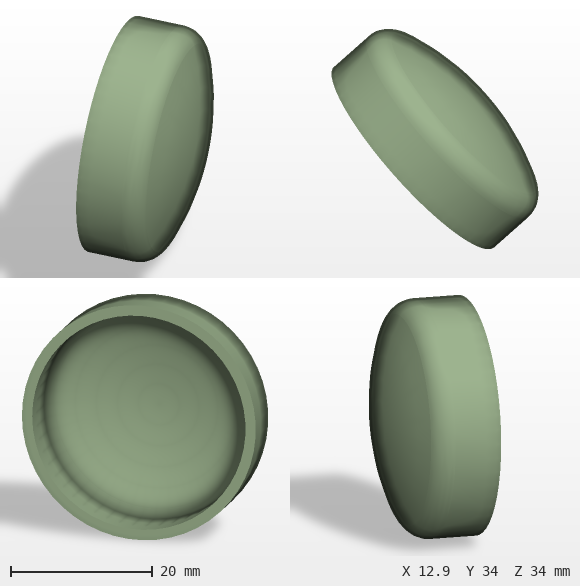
import cadquery as cq
import math

outer_radius = 17.0
cap_height = 12.92
wall = 1.5
rim_length = 6.65
shoulder_radius = 3.33

shoulder_center_radius = outer_radius - shoulder_radius
crown_rise = cap_height - rim_length
dome_radius = (crown_rise**2 + shoulder_center_radius**2 - shoulder_radius**2) / (
    2 * (crown_rise - shoulder_radius)
)
dome_center_x = cap_height - dome_radius

tangent_angle = math.atan2(shoulder_center_radius, rim_length - dome_center_x)


def arc_point(center_x, center_radius, radius, angle):
    """Point on a profile arc, with the angle measured from the X axis."""
    return (center_x + radius * math.cos(angle), center_radius + radius * math.sin(angle))


def solid_cap(inset):
    """Revolved solid bounded by the outer surface moved inward by inset."""
    shoulder = shoulder_radius - inset
    dome = dome_radius - inset
    shoulder_mid_angle = (math.pi / 2 + tangent_angle) / 2
    profile = (
        cq.Workplane("XY")
        .moveTo(0, 0)
        .lineTo(0, outer_radius - inset)
        .lineTo(rim_length, outer_radius - inset)
        .threePointArc(
            arc_point(rim_length, shoulder_center_radius, shoulder, shoulder_mid_angle),
            arc_point(rim_length, shoulder_center_radius, shoulder, tangent_angle),
        )
        .threePointArc(
            arc_point(dome_center_x, 0, dome, tangent_angle / 2),
            (cap_height - inset, 0),
        )
        .close()
    )
    return profile.revolve(360, (0, 0, 0), (1, 0, 0))


result = solid_cap(0).cut(solid_cap(wall))